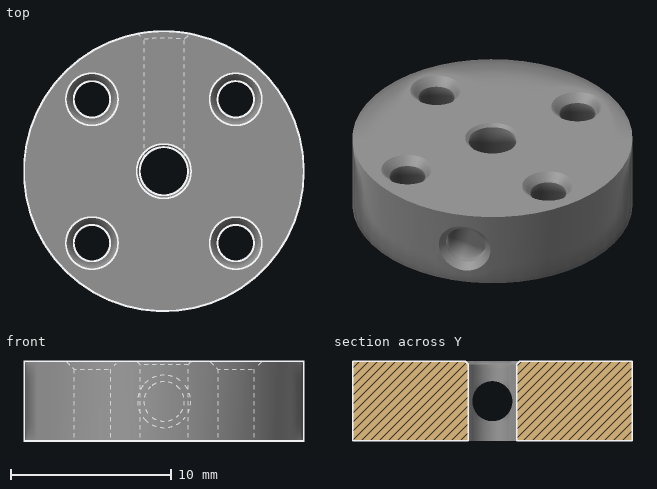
import cadquery as cq
import math

hub_diameter = 17.5
hub_thickness = 5.0

bore_diameter = 3.0
bore_chamfer = 0.2

mount_circle_diameter = 12.7
mount_hole_count = 4
mount_first_angle = 45.0
mount_hole_diameter = 2.26
mount_chamfer = 0.5

set_screw_diameter = 2.5
set_screw_chamfer = 0.4


def hub_with_set_screw_hole():
    """Disc with a hole at mid thickness, from its axis out through the +Y side."""
    disc = cq.Workplane("XY").circle(hub_diameter / 2).extrude(hub_thickness)
    set_screw_hole = cq.Solid.makeCylinder(
        set_screw_diameter / 2,
        hub_diameter / 2,
        pnt=cq.Vector(0, 0, hub_thickness / 2),
        dir=cq.Vector(0, 1, 0),
    )
    drilled = disc.cut(cq.Workplane(set_screw_hole))
    return drilled.edges(">Y").chamfer(set_screw_chamfer)


def chamfered_hole(diameter, chamfer):
    """Cutter for a vertical through hole on the Z axis with a 45 degree chamfer at the top."""
    shaft = cq.Workplane("XY").circle(diameter / 2).extrude(hub_thickness)
    cone = cq.Solid.makeCone(
        diameter / 2,
        diameter / 2 + chamfer,
        chamfer,
        pnt=cq.Vector(0, 0, hub_thickness - chamfer),
        dir=cq.Vector(0, 0, 1),
    )
    return shaft.union(cq.Workplane(cone))


def mount_hole_places():
    """Centres of the mounting holes, evenly spaced around the bolt circle."""
    radius = mount_circle_diameter / 2
    places = []
    for index in range(mount_hole_count):
        angle = math.radians(mount_first_angle + index * 360.0 / mount_hole_count)
        places.append((radius * math.cos(angle), radius * math.sin(angle), 0))
    return places


hub = hub_with_set_screw_hole()
hub = hub.cut(chamfered_hole(bore_diameter, bore_chamfer))

mount_hole = chamfered_hole(mount_hole_diameter, mount_chamfer)
for place in mount_hole_places():
    hub = hub.cut(mount_hole.translate(place))

result = hub